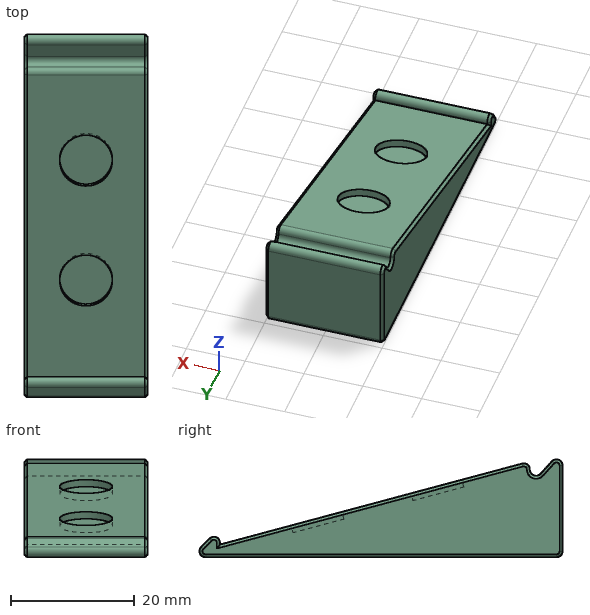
import cadquery as cq
import math

width = 20.0
length = 58.7
height = 15.85

round_radius = 1.0
ramp_angle = 15.0
groove_wall_y = 53.4
groove_bottom_z = 13.2
front_lip_y = 2.35
edge_chamfer = 0.5

pocket_diameter = 8.5
pocket_depth = 1.2
pocket_positions_y = (18.9, 38.3)

ramp_slope = math.tan(math.radians(ramp_angle))

nose_center = (round_radius, round_radius)
front_lip_center = (front_lip_y, front_lip_y)
front_wall_y = front_lip_y + round_radius
crest_center = (groove_wall_y - round_radius, groove_bottom_z + round_radius)
groove_center = (groove_wall_y + round_radius, groove_bottom_z + round_radius)
heel_center = (length - round_radius, round_radius)
back_lip_center = (length - round_radius, height - round_radius)


def on_arc(center, angle):
    """Point on a profile arc; the angle is in degrees from +Y towards +Z."""
    turn = math.radians(angle)
    return (center[0] + round_radius * math.cos(turn), center[1] + round_radius * math.sin(turn))


crest_end = on_arc(crest_center, 90 + ramp_angle)


def ramp_z(y):
    """Height of the ramp surface at a given Y."""
    return crest_end[1] + (y - crest_end[0]) * ramp_slope


def make_body():
    profile = (
        cq.Workplane("YZ")
        .workplane(offset=-width / 2)
        .moveTo(*on_arc(nose_center, 270))
        .lineTo(*on_arc(heel_center, 270))
        .threePointArc(on_arc(heel_center, 315), on_arc(heel_center, 0))
        .lineTo(*on_arc(back_lip_center, 0))
        .threePointArc(on_arc(back_lip_center, 70), on_arc(back_lip_center, 135))
        .lineTo(*on_arc(groove_center, 315))
        .threePointArc(on_arc(groove_center, 250), on_arc(groove_center, 180))
        .threePointArc(on_arc(crest_center, 50), crest_end)
        .lineTo(front_wall_y, ramp_z(front_wall_y))
        .lineTo(*on_arc(front_lip_center, 0))
        .threePointArc(on_arc(front_lip_center, 70), on_arc(front_lip_center, 135))
        .lineTo(*on_arc(nose_center, 135))
        .threePointArc(on_arc(nose_center, 200), on_arc(nose_center, 270))
        .close()
    )
    return profile.extrude(width).faces("<X or >X").chamfer(edge_chamfer)


def make_pocket(y):
    ramp_normal = (0, -math.sin(math.radians(ramp_angle)), math.cos(math.radians(ramp_angle)))
    ramp_plane = cq.Plane(origin=(0, y, ramp_z(y)), xDir=(1, 0, 0), normal=ramp_normal)
    return cq.Workplane(ramp_plane).circle(pocket_diameter / 2).extrude(-pocket_depth)


result = make_body()
for pocket_y in pocket_positions_y:
    result = result.cut(make_pocket(pocket_y))